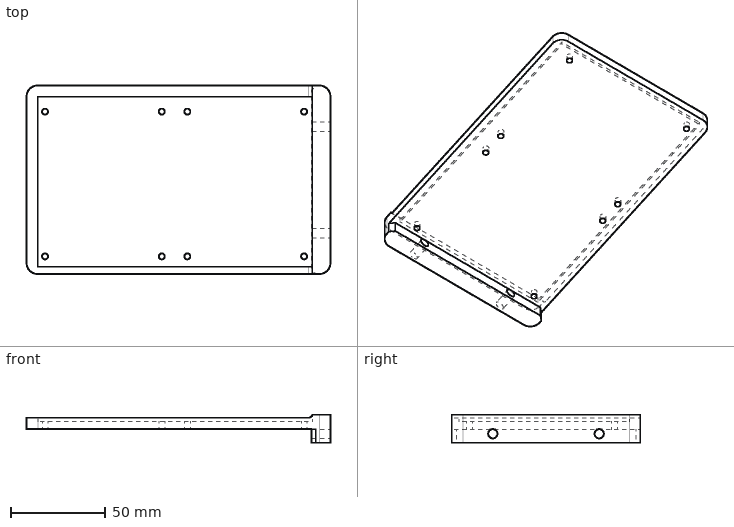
import cadquery as cq
import math

length = 161.0
width = 100.0
height = 15.0

corner_radius = 6.0
plate_thickness = 6.1
step_height = 1.6
plate_top = height - step_height
plate_bottom = plate_top - plate_thickness
rim_width = 6.0
front_rim_width = 3.9
tray_depth = 2.0

wall_thickness = 9.7
lip_thickness = 10.1
lip_chamfer = 2.4
step_fillet_radius = 2.1

mount_hole_diameter = 3.0
mount_pitch_x = 61.8
mount_pitch_y = 76.6
mount_pattern_starts = (9.8, 85.2)
mount_centre_y = -2.3

lip_hole_diameter = 4.8
lip_hole_pitch = 56.4
lip_hole_height = 4.8


def block(x_start, x_end, z_start, z_end, y_size=width):
    """Box centred on Y between the given X and Z limits."""
    return (
        cq.Workplane("XY")
        .box(x_end - x_start, y_size, z_end - z_start, centered=(False, True, False))
        .translate((x_start, 0, z_start))
    )


wall_face = length - wall_thickness


def make_body():
    plate = block(0, length, plate_bottom, plate_top).edges("|Z and <X").fillet(corner_radius)
    lip = block(length - lip_thickness, length, 0, plate_bottom).edges("|Z and <X").chamfer(lip_chamfer)
    wall = block(wall_face, length, plate_top, height)
    return plate.union(lip).union(wall).edges("|Z and >X").fillet(corner_radius)


def make_step_fillet():
    """Concave strip, tangent to the plate, rising to the top of the wall."""
    centre_height = plate_top + step_fillet_radius
    run = math.sqrt(step_fillet_radius**2 - (step_fillet_radius - step_height) ** 2)
    start_x = wall_face - run
    half_sweep = math.atan2(run, step_fillet_radius - step_height) / 2
    middle = (
        start_x + step_fillet_radius * math.sin(half_sweep),
        centre_height - step_fillet_radius * math.cos(half_sweep),
    )
    return (
        cq.Workplane("XZ")
        .moveTo(start_x, plate_top)
        .threePointArc(middle, (wall_face, height))
        .lineTo(wall_face, plate_top)
        .close()
        .extrude(width / 2, both=True)
    )


def make_tray_cut():
    tray_width = width - rim_width - front_rim_width
    tray_centre_y = (front_rim_width - rim_width) / 2
    tray = block(rim_width, wall_face, plate_top - tray_depth, height, tray_width)
    return tray.translate((0, tray_centre_y, 0))


def make_mount_holes():
    points = [
        (start + column * mount_pitch_x, mount_centre_y + side * mount_pitch_y / 2)
        for start in mount_pattern_starts
        for column in (0, 1)
        for side in (-1, 1)
    ]
    return cq.Workplane("XY").pushPoints(points).circle(mount_hole_diameter / 2).extrude(height)


def make_lip_holes():
    points = [(side * lip_hole_pitch / 2, lip_hole_height) for side in (-1, 1)]
    return cq.Workplane("YZ").pushPoints(points).circle(lip_hole_diameter / 2).extrude(length)


result = (
    make_body()
    .union(make_step_fillet())
    .cut(make_tray_cut())
    .cut(make_mount_holes())
    .cut(make_lip_holes())
)